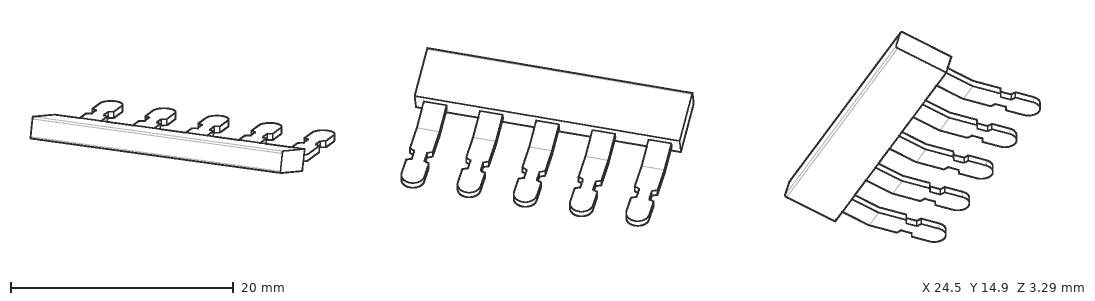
import cadquery as cq
import math

bar_length = 24.5
bar_depth = 5.17
bar_thickness = 2.0
bar_edge_radius = 0.2

pin_count = 5
pin_pitch = 5.2
pin_width = 2.1
pin_thickness = 0.61
flat_length = 6.98
arm_length = 2.82
slope_angle = 15.0

waist_width = 1.18
waist_start = 2.8
waist_end = 4.26
waist_shoulder = 0.22

slope = math.radians(slope_angle)
half_thickness = pin_thickness / 2
bend_shift = half_thickness * math.tan(slope / 2)
bar_back_y = -flat_length - arm_length * math.cos(slope)
bar_back_z = half_thickness + arm_length * math.sin(slope)


def sloped_point(along, above):
    """Side-profile point measured from the middle of the bar's back face."""
    y = bar_back_y - along * math.cos(slope) + above * math.sin(slope)
    z = bar_back_z + along * math.sin(slope) + above * math.cos(slope)
    return (y, z)


def make_bar():
    half_bar = bar_thickness / 2
    corners = [
        sloped_point(0, -half_bar),
        sloped_point(0, half_bar),
        sloped_point(bar_depth, half_bar),
        sloped_point(bar_depth, -half_bar),
    ]
    bar = cq.Workplane("YZ").polyline(corners).close().extrude(bar_length / 2, both=True)
    front_face = bar.faces(cq.selectors.NearestToPointSelector((0, *sloped_point(bar_depth, 0))))
    return front_face.edges("|X").fillet(bar_edge_radius)


def make_pin():
    """One pin centred on X = 0: bent side profile trimmed to its plan outline."""
    strip = (
        cq.Workplane("YZ")
        .moveTo(0, 0)
        .lineTo(0, pin_thickness)
        .lineTo(-flat_length + bend_shift, pin_thickness)
        .lineTo(*sloped_point(0, half_thickness))
        .lineTo(*sloped_point(0, -half_thickness))
        .lineTo(-flat_length - bend_shift, 0)
        .close()
        .extrude(pin_width / 2, both=True)
    )
    half_width = pin_width / 2
    half_waist = waist_width / 2
    outline_end = bar_back_y - pin_thickness
    outline_height = bar_back_z + pin_thickness
    outline = (
        cq.Workplane("XY")
        .moveTo(-half_width, outline_end)
        .lineTo(-half_width, -waist_end)
        .lineTo(-half_waist, -waist_end + waist_shoulder)
        .lineTo(-half_waist, -waist_start - waist_shoulder)
        .lineTo(-half_width, -waist_start)
        .lineTo(-half_width, -half_width)
        .threePointArc((0, 0), (half_width, -half_width))
        .lineTo(half_width, -waist_start)
        .lineTo(half_waist, -waist_start - waist_shoulder)
        .lineTo(half_waist, -waist_end + waist_shoulder)
        .lineTo(half_width, -waist_end)
        .lineTo(half_width, outline_end)
        .close()
        .extrude(outline_height)
    )
    return strip.intersect(outline)


result = make_bar()
pin = make_pin()
for index in range(pin_count):
    pin_x = (index - (pin_count - 1) / 2) * pin_pitch
    result = result.union(pin.translate((pin_x, 0, 0)))